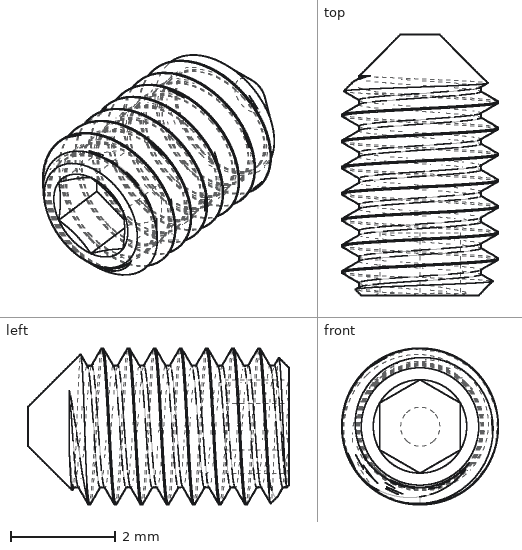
import cadquery as cq
import math

length = 5.0
major_radius = 1.5
entry_radius = 1.125
tip_radius = 0.375

pitch = 0.5
root_radius = 1.17
crest_width = 0.03
flank_angle = 30.0
root_phase = 0.45
flank_samples = 4
envelope_margin = 0.05

socket_flats = 1.55
socket_depth = 1.2
socket_corner_radius = socket_flats / math.sqrt(3)
corner_turn = 30.0
lead_in_angle = 25.0


def make_end_envelope():
    """Tapered envelope that shapes both ends, with its axis on Z."""
    envelope_radius = major_radius + envelope_margin
    entry_taper = envelope_radius - entry_radius
    point_taper = envelope_radius - tip_radius
    return (
        cq.Workplane("YZ")
        .moveTo(0, 0)
        .lineTo(entry_radius, 0)
        .lineTo(envelope_radius, entry_taper)
        .lineTo(envelope_radius, length - point_taper)
        .lineTo(tip_radius, length)
        .lineTo(0, length)
        .close()
        .revolve(360, (0, 0, 0), (0, 1, 0))
    )


def polar_point(radius, angle):
    return (radius * math.cos(angle), radius * math.sin(angle))


def make_threaded_rod():
    """Right-handed threaded rod: its constant cross-section twists along Z.

    The section has a root arc and a crest arc joined by two spirals. An axial
    distance on the thread profile becomes an angle, one pitch being a full turn.
    """
    turn = 2 * math.pi
    flank_width = (major_radius - root_radius) * math.tan(math.radians(flank_angle))
    root_width = pitch - crest_width - 2 * flank_width
    half_root = turn * root_width / pitch / 2
    half_groove = half_root + turn * flank_width / pitch
    groove_angle = -turn * root_phase / pitch
    crest_angle = groove_angle + turn / 2

    def rising_flank(t):
        radius = root_radius + t * (major_radius - root_radius)
        return polar_point(radius, groove_angle + half_root + t * (half_groove - half_root))

    def falling_flank(t):
        radius = major_radius - t * (major_radius - root_radius)
        return polar_point(radius, groove_angle - half_groove + t * (half_groove - half_root))

    return (
        cq.Workplane("XY")
        .moveTo(*falling_flank(1))
        .threePointArc(polar_point(root_radius, groove_angle), rising_flank(0))
        .parametricCurve(rising_flank, N=flank_samples, makeWire=False)
        .moveTo(*rising_flank(1))
        .threePointArc(polar_point(major_radius, crest_angle), falling_flank(0))
        .parametricCurve(falling_flank, N=flank_samples, makeWire=False)
        .wire()
        .twistExtrude(length, 360 * length / pitch)
    )


def make_socket():
    """Hexagonal recess with flats facing +X and -X, and a conical mouth."""
    hexagon = (
        cq.Workplane("XY")
        .polygon(6, 2 * socket_corner_radius)
        .extrude(socket_depth)
        .rotate((0, 0, 0), (0, 0, 1), corner_turn)
    )
    cone_depth = socket_corner_radius * math.tan(math.radians(lead_in_angle))
    mouth = (
        cq.Workplane("XZ")
        .polyline([(0, 0), (socket_corner_radius, 0), (0, cone_depth)])
        .close()
        .revolve(360, (0, 0, 0), (0, 1, 0))
    )
    return hexagon.union(mouth)


screw = make_threaded_rod().intersect(make_end_envelope()).cut(make_socket())

result = screw.rotate((0, 0, 0), (1, 0, 0), -90)